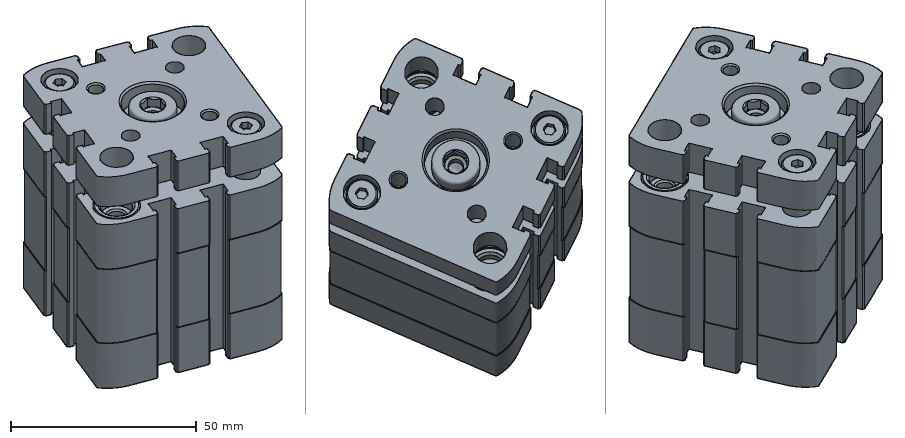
import cadquery as cq
import math

width = 54.5
half_width = width / 2
total_height = 71.1
plate_thickness = 10.0
stroke_gap = 6.0
cap_height = 15.1
barrel_inset = 0.25

plate_bottom = total_height - plate_thickness
housing_height = plate_bottom - stroke_gap
barrel_height = housing_height - 2 * cap_height

side_flat_half = 19.0
bow_radius = 14.5
corner_radius = 0.9

slot_offset = 7.63
slot_mouth = 5.4
slot_inner = 6.75
slot_depth = 5.3
lip_depth = 2.0
mouth_radius = 0.4

corner_offset = 19.0
guide_corners = [(-corner_offset, -corner_offset), (corner_offset, corner_offset)]
access_corners = [(-corner_offset, corner_offset), (corner_offset, -corner_offset)]
guide_rod_diameter = 8.0
access_diameter = 9.0

mount_offset = 11.6
tapped_points = [(-mount_offset, -mount_offset), (mount_offset, mount_offset)]
dowel_points = [(-mount_offset, mount_offset), (mount_offset, -mount_offset)]
dowel_diameter = 5.0
tapped_diameter = 4.13
tapped_mouth_diameter = 5.0

rod_diameter = 12.0
flats_across = 10.0
flat_bottom = housing_height + 0.9
flat_end_radius = 0.4

recess_diameter = 17.0
recess_mouth_diameter = 18.1
recess_depth = 5.6
center_head_drop = 1.1
center_head_diameter = 13.0
center_head_top_diameter = 11.6
center_hex = 6.0
center_hex_depth = 3.0
center_hex_mouth_diameter = 7.0
pilot_diameter = 4.13
pilot_depth = 6.0
drill_slope = math.tan(math.radians(30))

screw_recess_diameter = 10.0
screw_recess_depth = 4.0
screw_head_drop = 0.85
screw_head_diameter = 8.5
screw_head_top_diameter = 7.7
screw_hex = 3.0
screw_hex_depth = 2.0

tie_groove_diameter = 12.8
tie_rim_diameter = 11.9
tie_groove_depth = 0.5
tie_bore_diameter = 8.57
tie_bore_mouth_diameter = 10.0
tie_bore_depth = 3.5
tie_hole_diameter = 4.92
tie_hole_mouth_diameter = 5.9


def cylinder(diameter, bottom, top, at=(0, 0)):
    return cq.Workplane("XY", origin=(*at, bottom)).circle(diameter / 2).extrude(top - bottom)


def cone(bottom_diameter, top_diameter, bottom, top, at=(0, 0)):
    """Frustum standing along Z."""
    base = cq.Vector(*at, bottom)
    frustum = cq.Solid.makeCone(bottom_diameter / 2, top_diameter / 2, top - bottom, base)
    return cq.Workplane(frustum)


def countersink(mouth_diameter, hole_diameter, top, at):
    """45 degree countersink that opens upwards at the given height."""
    depth = (mouth_diameter - hole_diameter) / 2
    return cone(hole_diameter, mouth_diameter, top - depth, top, at)


def hexagon(across_flats, bottom, top, at=(0, 0), turn=0):
    corners = across_flats / math.cos(math.pi / 6)
    prism = cq.Workplane("XY").polygon(6, corners).extrude(top - bottom)
    return prism.rotate((0, 0, 0), (0, 0, 1), turn).translate((*at, bottom))


def outline_block(bottom, height, inset=0.0):
    """Block with bowed sides and rounded corners where the bows meet the front and back."""
    half = half_width - inset
    radius = bow_radius - inset

    def bow_x(y):
        return half - radius + math.sqrt(radius**2 - (y - side_flat_half) ** 2)

    corner_x = bow_x(half)
    middle_y = (side_flat_half + half) / 2
    middle_x = bow_x(middle_y)
    block = (
        cq.Workplane("XY", origin=(0, 0, bottom))
        .moveTo(half, -side_flat_half)
        .lineTo(half, side_flat_half)
        .threePointArc((middle_x, middle_y), (corner_x, half))
        .lineTo(-corner_x, half)
        .threePointArc((-middle_x, middle_y), (-half, side_flat_half))
        .lineTo(-half, -side_flat_half)
        .threePointArc((-middle_x, -middle_y), (-corner_x, -half))
        .lineTo(corner_x, -half)
        .threePointArc((middle_x, -middle_y), (half, -side_flat_half))
        .close()
        .extrude(height)
    )
    corners = block.faces("<Y or >Y").edges("|Z")
    return corners.fillet(corner_radius - inset)


def slot_cutter(bottom, height, inset):
    """One T-slot in the front face, centered on X, with a rounded mouth."""
    face = -half_width + inset
    mouth = slot_mouth / 2
    inner = slot_inner / 2
    lip = -half_width + lip_depth
    floor = -half_width + slot_depth
    return (
        cq.Workplane("XY", origin=(0, 0, bottom))
        .moveTo(-mouth - mouth_radius, face)
        .radiusArc((-mouth, face + mouth_radius), mouth_radius)
        .lineTo(-mouth, lip)
        .lineTo(-inner, lip)
        .lineTo(-inner, floor)
        .lineTo(inner, floor)
        .lineTo(inner, lip)
        .lineTo(mouth, lip)
        .lineTo(mouth, face + mouth_radius)
        .radiusArc((mouth + mouth_radius, face), mouth_radius)
        .close()
        .extrude(height)
    )


def slotted_block(bottom, height, inset=0.0):
    """Outline block with a pair of T-slots in the front, left and right faces."""
    block = outline_block(bottom, height, inset)
    cutter = slot_cutter(bottom, height, inset)
    for turn in (-90, 0, 90):
        for side in (-1, 1):
            slot = cutter.translate((side * slot_offset, 0, 0))
            block = block.cut(slot.rotate((0, 0, 0), (0, 0, 1), turn))
    return block


def make_rods():
    """Piston rod and both guide rods, reaching from the yoke plate down to the lower cap."""
    rods = cylinder(rod_diameter, cap_height, plate_bottom)
    overshoot = rod_diameter / 2
    flat_profile = (
        cq.Workplane("YZ")
        .moveTo(flats_across / 2, plate_bottom)
        .lineTo(flats_across / 2, flat_bottom + flat_end_radius)
        .radiusArc((flats_across / 2 + flat_end_radius, flat_bottom), -flat_end_radius)
        .lineTo(rod_diameter / 2, flat_bottom)
        .lineTo(rod_diameter / 2, plate_bottom)
        .close()
        .extrude(overshoot, both=True)
    )
    rods = rods.cut(flat_profile).cut(flat_profile.mirror("XZ"))
    for at in guide_corners:
        rods = rods.union(cylinder(guide_rod_diameter, cap_height, plate_bottom, at))
    return rods


def make_center_screw():
    """Head of the screw that holds the plate on the piston rod."""
    top = total_height - center_head_drop
    edge_radius = (center_head_diameter - center_head_top_diameter) / 2
    head = cylinder(center_head_diameter, total_height - recess_depth, top)
    return head.faces(">Z").edges().fillet(edge_radius)


def cut_center_socket(body):
    """Hexagon socket with a conical floor, leading into a pilot hole with a drill point."""
    top = total_height - center_head_drop
    floor = top - center_hex_depth
    floor_drop = (center_hex - pilot_diameter) / 2 * drill_slope
    pilot_floor = top - pilot_depth
    tip = pilot_floor - pilot_diameter / 2 * drill_slope
    body = body.cut(countersink(center_hex_mouth_diameter, center_hex, top, (0, 0)))
    body = body.cut(hexagon(center_hex, floor, top))
    body = body.cut(cone(pilot_diameter, center_hex, floor - floor_drop, floor))
    body = body.cut(cylinder(pilot_diameter, pilot_floor, floor))
    return body.cut(cone(0, pilot_diameter, tip, pilot_floor))


def add_guide_screw(body, at):
    """Recessed socket screw above a guide rod."""
    top = total_height - screw_head_drop
    floor = total_height - screw_recess_depth
    edge = top - (screw_head_diameter - screw_head_top_diameter) / 2
    body = body.cut(cylinder(screw_recess_diameter, floor, total_height, at))
    body = body.union(cylinder(screw_head_diameter, floor, edge, at))
    body = body.union(cone(screw_head_diameter, screw_head_top_diameter, edge, top, at))
    return body.cut(hexagon(screw_hex, top - screw_hex_depth, top, at, turn=15))


def make_yoke():
    """Moving body: yoke plate with its screws, piston rod and guide rods."""
    body = slotted_block(plate_bottom, plate_thickness)
    body = body.cut(cylinder(recess_diameter, total_height - recess_depth, total_height))
    body = body.cut(countersink(recess_mouth_diameter, recess_diameter, total_height, (0, 0)))
    body = body.union(make_center_screw())
    body = cut_center_socket(body)
    for at in guide_corners:
        body = add_guide_screw(body, at)
    for at in access_corners:
        body = body.cut(cylinder(access_diameter, plate_bottom, total_height, at))
    for at in dowel_points:
        body = body.cut(cylinder(dowel_diameter, plate_bottom, total_height, at))
    for at in tapped_points:
        body = body.cut(cylinder(tapped_diameter, plate_bottom, total_height, at))
        body = body.cut(countersink(tapped_mouth_diameter, tapped_diameter, total_height, at))
    return body.union(make_rods())


def cut_tie_screw(body, at):
    """Ring groove with a beveled inner rim, countersunk bore and through hole."""
    top = housing_height
    groove_floor = top - tie_groove_depth
    bore_floor = top - tie_bore_depth
    ring = cylinder(tie_groove_diameter, groove_floor, top, at)
    ring = ring.cut(cone(tie_groove_diameter, tie_rim_diameter, groove_floor, top, at))
    body = body.cut(ring)
    body = body.cut(cylinder(tie_bore_diameter, bore_floor, top, at))
    body = body.cut(countersink(tie_bore_mouth_diameter, tie_bore_diameter, top, at))
    body = body.cut(countersink(tie_hole_mouth_diameter, tie_hole_diameter, bore_floor, at))
    return body.cut(cylinder(tie_hole_diameter, 0, bore_floor, at))


def make_housing():
    """Fixed body: two caps with a slightly slimmer barrel between them."""
    body = slotted_block(0, cap_height)
    body = body.union(slotted_block(cap_height, barrel_height, barrel_inset))
    body = body.union(slotted_block(cap_height + barrel_height, cap_height))
    for at in access_corners:
        body = cut_tie_screw(body, at)
    body = body.cut(cylinder(rod_diameter, cap_height, housing_height))
    for at in guide_corners:
        body = body.cut(cylinder(guide_rod_diameter, cap_height, housing_height, at))
    return body


housing = make_housing()
yoke = make_yoke()

result = cq.Compound.makeCompound([housing.val(), yoke.val()])